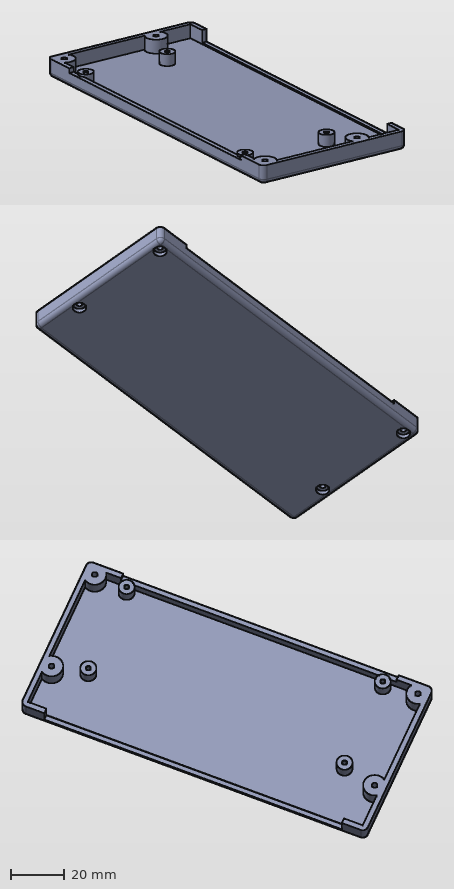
import cadquery as cq

length = 140.1
width = 66.0
height = 7.5
wall = 2.1
floor = 2.0
corner_radius = 2.1
bottom_edge_radius = 2.0

front_opening_inset = 14.2
front_opening_depth = 1.8
back_opening_inset = 9.7
back_sill_height = 2.5

boss_diameter = 8.7
boss_hole_diameter = 2.1
screw_head_diameter = 5.0
screw_head_depth = floor
boss_inset = 4.5
boss_spacing_y = 42.0

standoff_diameter = 6.0
standoff_hole_diameter = 1.7
standoff_hole_chamfer = 0.1
standoff_top = height - 0.8
standoff_left_inset = 18.8
standoff_front_inset = 4.3
standoff_spacing_x = 104.0
standoff_spacing_y = 37.3


def rectangle_points(left, front, spacing_x, spacing_y):
    """Corners of a rectangle, measured from the front left corner of the tray."""
    x_start = left - length / 2
    y_start = front - width / 2
    return [(x_start + i * spacing_x, y_start + j * spacing_y) for i in (0, 1) for j in (0, 1)]


def cylinders(points, diameter, bottom, top):
    """Upright cylinders between two heights."""
    plane = cq.Workplane("XY").workplane(offset=bottom)
    return plane.pushPoints(points).circle(diameter / 2).extrude(top - bottom)


def chamfered_holes(points, diameter, bottom, top, chamfer):
    """Cutter for round holes that widen at the mouth."""
    holes = cylinders(points, diameter, bottom, top)
    mouths = (
        cq.Workplane("XY")
        .workplane(offset=top)
        .pushPoints(points)
        .circle(diameter / 2 + chamfer)
        .extrude(-chamfer, taper=45)
    )
    return holes.union(mouths)


def wall_opening(inset, bottom, side):
    """Cutter for a centred opening in the front (-1) or back (+1) wall."""
    return (
        cq.Workplane("XY", origin=(0, side * (width - wall) / 2, bottom))
        .rect(length - 2 * inset, wall)
        .extrude(height - bottom)
    )


outer = (
    cq.Workplane("XY")
    .rect(length, width)
    .extrude(height)
    .edges("|Z")
    .fillet(corner_radius)
    .faces("<Z")
    .edges()
    .fillet(bottom_edge_radius)
)
cavity = (
    cq.Workplane("XY")
    .workplane(offset=floor)
    .rect(length - 2 * wall, width - 2 * wall)
    .extrude(height - floor)
)

boss_points = rectangle_points(boss_inset, boss_inset, length - 2 * boss_inset, boss_spacing_y)
standoff_points = rectangle_points(
    standoff_left_inset, standoff_front_inset, standoff_spacing_x, standoff_spacing_y
)

tray = outer.cut(cavity)
tray = tray.cut(wall_opening(front_opening_inset, height - front_opening_depth, -1))
tray = tray.cut(wall_opening(back_opening_inset, back_sill_height, 1))

bosses = cylinders(boss_points, boss_diameter, floor, height).intersect(outer)
boss_holes = cylinders(boss_points, boss_hole_diameter, 0, height)
screw_head_recesses = cylinders(boss_points, screw_head_diameter, 0, screw_head_depth)

standoffs = cylinders(standoff_points, standoff_diameter, floor, standoff_top)
standoff_holes = chamfered_holes(
    standoff_points, standoff_hole_diameter, floor, standoff_top, standoff_hole_chamfer
)

result = (
    tray.union(bosses)
    .union(standoffs)
    .cut(boss_holes)
    .cut(screw_head_recesses)
    .cut(standoff_holes)
)